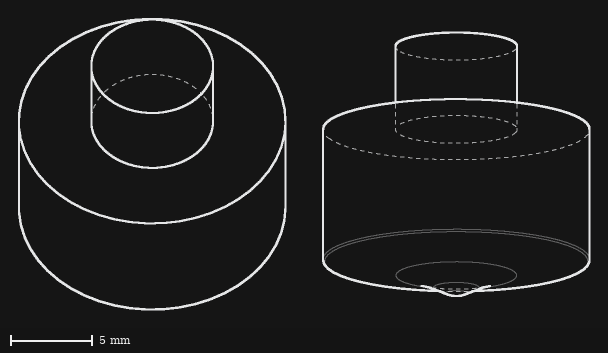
import cadquery as cq
import math

body_diameter = 16.4
body_radius = body_diameter / 2
stem_diameter = 7.5
stem_height = 5.25
total_height = 15.73
body_top = total_height - stem_height

rim_height = 2.16
rim_fillet = 0.13
shallow_angle = math.radians(11.3)
steep_angle = math.radians(25.5)
blend_radius = 9.84
tip_radius = 1.55


def arc_point(center, radius, angle):
    """Radial and axial position on a circle, with the angle measured from straight down."""
    return (center[0] + radius * math.sin(angle), center[1] - radius * math.cos(angle))


tip_center = (0, tip_radius)
tip_middle = arc_point(tip_center, tip_radius, steep_angle / 2)
tip_end = arc_point(tip_center, tip_radius, steep_angle)

steep_apex_height = tip_radius * (1 - 1 / math.cos(steep_angle))
shallow_apex_height = rim_height - body_radius * math.tan(shallow_angle)
knee_radius = (shallow_apex_height - steep_apex_height) / (math.tan(steep_angle) - math.tan(shallow_angle))
knee_height = steep_apex_height + knee_radius * math.tan(steep_angle)

blend_tangent = blend_radius * math.tan((steep_angle - shallow_angle) / 2)
blend_start = (
    knee_radius - blend_tangent * math.cos(steep_angle),
    knee_height - blend_tangent * math.sin(steep_angle),
)
blend_end = (
    knee_radius + blend_tangent * math.cos(shallow_angle),
    knee_height + blend_tangent * math.sin(shallow_angle),
)
blend_center = (
    blend_start[0] + blend_radius * math.sin(steep_angle),
    blend_start[1] - blend_radius * math.cos(steep_angle),
)
middle_angle = (steep_angle + shallow_angle) / 2
blend_middle = arc_point(blend_center, -blend_radius, middle_angle)

rim_angle = math.pi / 2
rim_center = (
    body_radius - rim_fillet,
    rim_height + rim_fillet * math.tan((rim_angle - shallow_angle) / 2),
)
rim_start = arc_point(rim_center, rim_fillet, shallow_angle)
rim_middle = arc_point(rim_center, rim_fillet, (shallow_angle + rim_angle) / 2)
rim_end = arc_point(rim_center, rim_fillet, rim_angle)

body = (
    cq.Workplane("XZ")
    .moveTo(0, 0)
    .threePointArc(tip_middle, tip_end)
    .lineTo(*blend_start)
    .threePointArc(blend_middle, blend_end)
    .lineTo(*rim_start)
    .threePointArc(rim_middle, rim_end)
    .lineTo(body_radius, body_top)
    .lineTo(0, body_top)
    .close()
    .revolve(360, (0, 0, 0), (0, 1, 0))
)

stem = cq.Workplane("XY").workplane(offset=body_top).circle(stem_diameter / 2).extrude(stem_height)
result = body.union(stem)